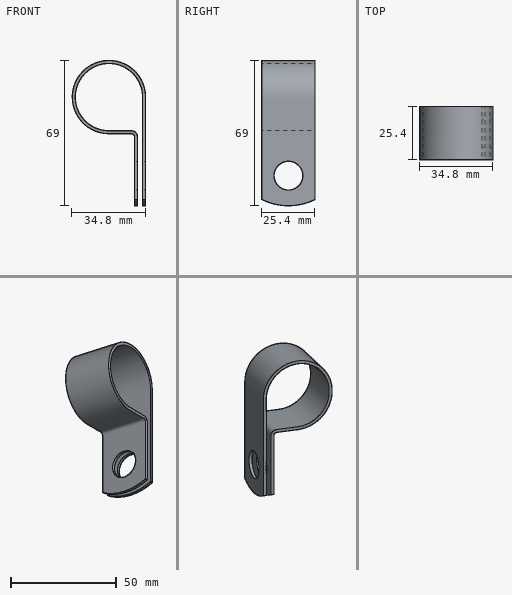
import cadquery as cq
import math

height = 68.95
width = 25.4
loop_diameter = 34.8
thickness = 1.5
leg_gap = 2.35
bend_inner_radius = 1.4
hole_diameter = 13.5
hole_height = 14.35
tip_rise = 3.0

outer_radius = loop_diameter / 2
inner_radius = outer_radius - thickness
bend_outer_radius = bend_inner_radius + thickness
bottom = outer_radius - height
short_leg_outer = inner_radius - leg_gap
short_leg_inner = short_leg_outer - thickness
bend_x = short_leg_outer - bend_outer_radius
bend_z = -outer_radius - bend_inner_radius
diagonal = math.sqrt(0.5)


def strip_profile():
    """Closed side outline: long leg, loop, shelf, bend and short leg."""
    return (
        cq.Workplane("XZ")
        .moveTo(outer_radius, bottom)
        .lineTo(outer_radius, 0)
        .threePointArc((-outer_radius * diagonal, outer_radius * diagonal), (0, -outer_radius))
        .lineTo(bend_x, -outer_radius)
        .threePointArc(
            (bend_x + bend_inner_radius * diagonal, bend_z + bend_inner_radius * diagonal),
            (short_leg_inner, bend_z),
        )
        .lineTo(short_leg_inner, bottom)
        .lineTo(short_leg_outer, bottom)
        .lineTo(short_leg_outer, bend_z)
        .threePointArc(
            (bend_x + bend_outer_radius * diagonal, bend_z + bend_outer_radius * diagonal),
            (bend_x, -inner_radius),
        )
        .lineTo(0, -inner_radius)
        .threePointArc((-inner_radius * diagonal, inner_radius * diagonal), (inner_radius, 0))
        .lineTo(inner_radius, bottom)
        .close()
    )


def rounded_end_envelope():
    """Block around the whole clamp with an arc along its lower end."""
    half_width = width / 2
    return (
        cq.Workplane("YZ")
        .moveTo(-half_width, outer_radius)
        .lineTo(-half_width, bottom + tip_rise)
        .threePointArc((0, bottom), (half_width, bottom + tip_rise))
        .lineTo(half_width, outer_radius)
        .close()
        .extrude(outer_radius, both=True)
    )


def bolt_hole():
    """Cylinder along X that passes through both legs."""
    return (
        cq.Workplane("YZ")
        .center(0, bottom + hole_height)
        .circle(hole_diameter / 2)
        .extrude(outer_radius)
    )


strip = strip_profile().extrude(width / 2, both=True)
result = strip.intersect(rounded_end_envelope()).cut(bolt_hole())